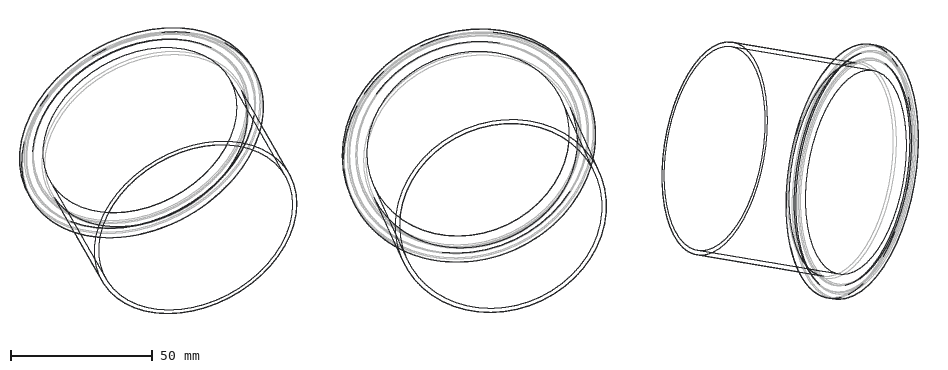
import cadquery as cq
import math

length = 57.2
tube_diameter = 76.2
bore_diameter = 72.9

flange_diameter = 90.9
rim_width = 2.9
rim_round = 0.4
cone_angle = 20.0
neck_fillet = 1.0

groove_diameter = 83.55
groove_width = 3.55
groove_radius = 1.2
groove_edge_round = 0.55
groove_wall_angle = 65.0

flange_radius = flange_diameter / 2
tube_radius = tube_diameter / 2
bore_radius = bore_diameter / 2
neck_x = rim_width + (flange_radius - tube_radius) * math.tan(math.radians(cone_angle))


def revolve_about_x(profile):
    """Turn a closed profile drawn in the XY plane around the X axis."""
    return profile.revolve(360, (0, 0, 0), (1, 0, 0))


def round_circle(body, x, radius, fillet_radius):
    """Fillet the circular edge that lies at the given X position and radius."""
    tolerance = 0.05
    circles = [
        edge
        for edge in body.edges("%CIRCLE").vals()
        if abs(edge.Center().x - x) < tolerance and abs(edge.radius() - radius) < tolerance
    ]
    return body.newObject(circles).fillet(fillet_radius)


def make_flanged_tube():
    """Rim, conical back and tube as one solid, with its outer edges rounded."""
    profile = (
        cq.Workplane("XY")
        .moveTo(0, bore_radius)
        .lineTo(0, flange_radius)
        .lineTo(rim_width, flange_radius)
        .lineTo(neck_x, tube_radius)
        .lineTo(length, tube_radius)
        .lineTo(length, bore_radius)
        .close()
    )
    body = revolve_about_x(profile)
    body = round_circle(body, 0, flange_radius, rim_round)
    body = round_circle(body, rim_width, flange_radius, rim_round)
    return round_circle(body, neck_x, tube_radius, neck_fillet)


def make_groove():
    """Ring to cut: rounded edges, short straight walls and a hollow arc, all tangent."""
    middle = groove_diameter / 2
    half_width = groove_width / 2
    wall_angle = math.radians(groove_wall_angle)

    round_middle_x = groove_edge_round * (1 - math.cos(wall_angle / 2))
    round_middle_offset = half_width - groove_edge_round * math.sin(wall_angle / 2)
    wall_top_x = groove_edge_round * (1 - math.cos(wall_angle))
    wall_top_offset = half_width - groove_edge_round * math.sin(wall_angle)
    wall_bottom_offset = groove_radius * math.sin(wall_angle)
    wall_bottom_x = wall_top_x + (wall_top_offset - wall_bottom_offset) * math.tan(wall_angle)
    bottom_x = wall_bottom_x + groove_radius * (1 - math.cos(wall_angle))

    profile = (
        cq.Workplane("XY")
        .moveTo(0, middle - half_width)
        .threePointArc(
            (round_middle_x, middle - round_middle_offset),
            (wall_top_x, middle - wall_top_offset),
        )
        .lineTo(wall_bottom_x, middle - wall_bottom_offset)
        .threePointArc((bottom_x, middle), (wall_bottom_x, middle + wall_bottom_offset))
        .lineTo(wall_top_x, middle + wall_top_offset)
        .threePointArc(
            (round_middle_x, middle + round_middle_offset),
            (0, middle + half_width),
        )
        .close()
    )
    return revolve_about_x(profile)


result = make_flanged_tube().cut(make_groove())